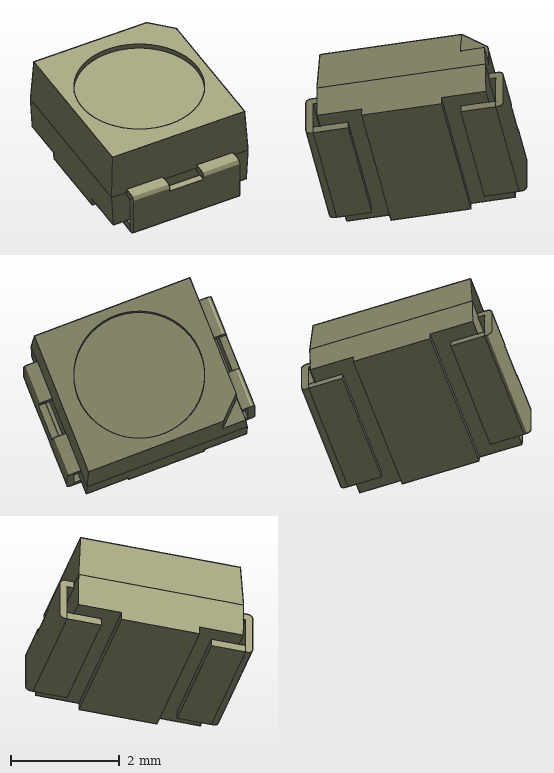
import cadquery as cq

overall_length = 3.7
overall_height = 1.75

body_length = 3.16
body_width = 2.85
parting_z = 0.832
cover_top_length = 3.065
cover_top_width = 2.755
base_bottom_width = 2.755
standoff_height = 0.15
standoff_length = 1.495

window_diameter = 2.405
window_depth = 0.1
corner_mark_z = 1.295
corner_mark_leg = 0.45

lead_width = 2.215
lead_top_z = 0.9
lead_thickness = 0.14
lead_bend_radius = 0.1
notch_width = 0.703
foot_tip_x = 1.055

lead_outer_x = overall_length / 2
lead_inner_x = lead_outer_x - lead_thickness
cover_height = overall_height - parting_z


def cover_size_at(z, size_at_parting, size_at_top):
    """Length or width of the drafted cover at height z."""
    draft_fraction = (z - parting_z) / cover_height
    return size_at_parting + (size_at_top - size_at_parting) * draft_fraction


def make_base():
    """Lower housing: drafted on its Y sides, with a central standoff underneath."""
    base = (
        cq.Workplane("YZ")
        .moveTo(-base_bottom_width / 2, 0)
        .lineTo(base_bottom_width / 2, 0)
        .lineTo(body_width / 2, parting_z)
        .lineTo(-body_width / 2, parting_z)
        .close()
        .extrude(body_length / 2, both=True)
    )
    relief_length = (body_length - standoff_length) / 2
    relief_center_x = (body_length + standoff_length) / 4
    for side in (-1, 1):
        relief = cq.Workplane("XY").box(
            relief_length, body_width, standoff_height, centered=(True, True, False)
        )
        base = base.cut(relief.translate((side * relief_center_x, 0, 0)))
    return base


def make_cover():
    """Upper housing: drafted on all sides, with a window recess and a corner mark."""
    cover = (
        cq.Workplane("XY", origin=(0, 0, parting_z))
        .rect(body_length, body_width)
        .workplane(offset=cover_height)
        .rect(cover_top_length, cover_top_width)
        .loft(ruled=True)
    )
    window = (
        cq.Workplane("XY", origin=(0, 0, overall_height - window_depth))
        .circle(window_diameter / 2)
        .extrude(window_depth)
    )
    return cover.cut(window).cut(make_corner_mark())


def make_corner_mark():
    """Triangular cutter whose legs lie along the cover walls at the mark's floor."""
    floor_length = cover_size_at(corner_mark_z, body_length, cover_top_length)
    floor_width = cover_size_at(corner_mark_z, body_width, cover_top_width)
    return (
        cq.Workplane("XY", origin=(-floor_length / 2, floor_width / 2, corner_mark_z))
        .polyline([(0, 0), (corner_mark_leg, 0), (0, -corner_mark_leg)])
        .close()
        .extrude(overall_height - corner_mark_z)
    )


def make_lead():
    """Bent lead on the +X end: an upright plate with a notched arm to the housing wall."""
    arm_bottom_z = lead_top_z - lead_thickness
    wall_length = cover_size_at(lead_top_z, body_length, cover_top_length)
    lead = (
        cq.Workplane("XZ")
        .moveTo(lead_inner_x, 0)
        .lineTo(lead_outer_x - lead_bend_radius, 0)
        .radiusArc((lead_outer_x, lead_bend_radius), -lead_bend_radius)
        .lineTo(lead_outer_x, lead_top_z - lead_bend_radius)
        .radiusArc((lead_outer_x - lead_bend_radius, lead_top_z), -lead_bend_radius)
        .lineTo(wall_length / 2, lead_top_z)
        .lineTo(body_length / 2, parting_z)
        .lineTo(body_length / 2, arm_bottom_z)
        .lineTo(lead_inner_x, arm_bottom_z)
        .close()
        .extrude(lead_width / 2, both=True)
    )
    notch = cq.Workplane("XY", origin=(0, 0, arm_bottom_z)).box(
        lead_outer_x, notch_width, lead_thickness, centered=(False, True, False)
    )
    return lead.cut(notch)


def make_foot():
    """Flat solder foot running from the +X lead to under the base."""
    return cq.Workplane("XY", origin=(foot_tip_x, 0, 0)).box(
        lead_inner_x - foot_tip_x, lead_width, standoff_height, centered=(False, True, False)
    )


base = make_base()
cover = make_cover()

leads = []
feet = []
for angle in (0, 180):
    leads.append(make_lead().rotate((0, 0, 0), (0, 0, 1), angle).val())
    feet.append(make_foot().rotate((0, 0, 0), (0, 0, 1), angle).val())

result = cq.Compound.makeCompound([base.val(), cover.val(), *leads, *feet])